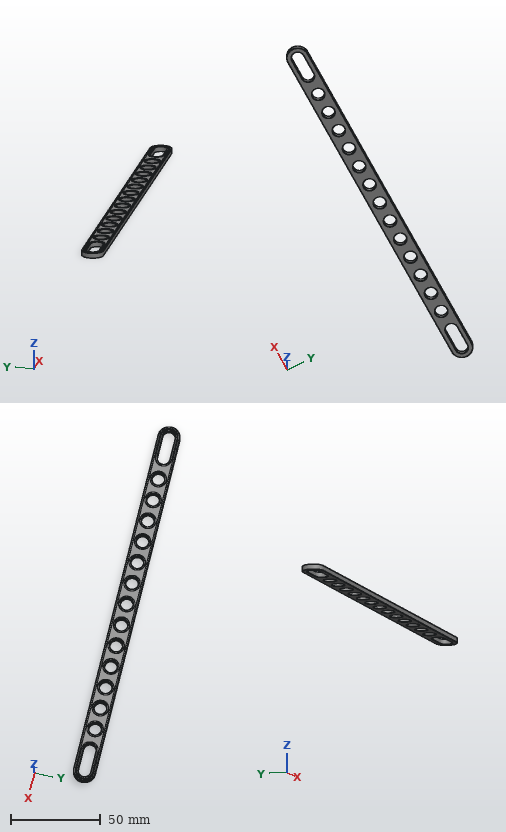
import cadquery as cq

length = 212.5
pitch_count = 17
thickness = 3.2
hole_diameter = 7.0
collar_diameter = 9.1
recess_depth = 0.25
edge_chamfer = 0.32

pitch = length / pitch_count
width = pitch
rim_width = (collar_diameter - hole_diameter) / 2
hole_count = pitch_count - 4
first_hole_x = -(hole_count - 1) * pitch / 2
hole_positions = [(first_hole_x + i * pitch, 0) for i in range(hole_count)]
slot_x = length / 2 - pitch
slot_positions = [(-slot_x, 0), (slot_x, 0)]


def make_bar():
    """Flat bar with fully rounded ends, resting on the XY plane."""
    return cq.Workplane("XY").slot2D(length, width).extrude(thickness)


def make_posts(diameter):
    """Full-height solids at every hole and slot; a slot is a hole stretched by one pitch."""
    base = cq.Workplane("XY")
    holes = base.pushPoints(hole_positions).circle(diameter / 2).extrude(thickness)
    slots = base.pushPoints(slot_positions).slot2D(pitch + diameter, diameter).extrude(thickness)
    return holes.union(slots)


def make_recess():
    """Shallow pocket in the top face that leaves the rim and the collars standing."""
    floor = cq.Workplane("XY").workplane(offset=thickness - recess_depth)
    pocket = floor.slot2D(length - 2 * rim_width, width - 2 * rim_width).extrude(recess_depth)
    return pocket.cut(make_posts(collar_diameter))


pierced_bar = make_bar().cut(make_posts(hole_diameter))
chamfered_bar = pierced_bar.faces("|Z").edges().chamfer(edge_chamfer)
result = chamfered_bar.cut(make_recess())